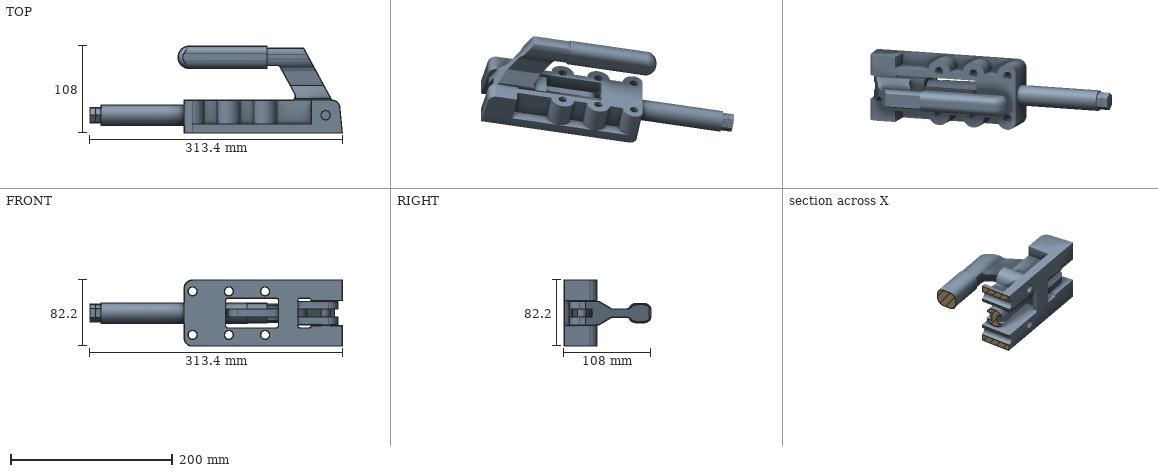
import cadquery as cq
import math


body_length = 196.5
body_depth = 41.0
body_height = 82.2
nose_radius = 10.6
plate_thickness = 11.3
tail_top_length = 192.5
tail_round_radius = 10.0

hole_diameter = 10.8
hole_pitch = 45.0
hole_count = 3
first_hole_x = nose_radius
boss_radius = 14.1
hole_z = body_height / 2 - boss_radius
recess_floor_z = hole_z
recess_end_x = 158.4
recess_floor_fillet = 1.0

channel_start_x = 51.7
channel_end_x = 157.6
channel_width = 36.6
channel_corner_radius = 2.5
tail_slot_width = 31.0
bridge_start_x = 117.0
bridge_end_x = 141.4
bridge_thickness = 6.0

axis_y = 22.2
plunger_radius = 12.8
plunger_tip_x = -103.0
plunger_end_x = 78.0
clevis_radius = 12.3
clevis_end_x = 103.0
tongue_radius = 11.5
tongue_end_x = 120.0
tongue_flat_offset = 6.6
clevis_slot_start_x = 52.5
hex_across_flats = 19.2
hex_across_corners = hex_across_flats / math.cos(math.pi / 6)
hex_thickness = 6.95
nut_chamfer_angle = math.radians(30)

link_thickness = 10.0
link_end_radius = 11.9
link_plunger_x = 66.6
link_handle_x = 140.5
pivot_x = 175.7
pivot_diameter = 11.5
pivot_recess = 0.2

arm_lean = math.radians(28.5)
neck_bottom_y = 83.8
neck_top_y = 105.4
neck_start_x = 90.0
neck_heel_x = 118.3
neck_end_x = 148.4
arm_foot_y = 40.0
arm_foot_fillet = 6.0
neck_heel_fillet = 2.0
fork_front_x = 121.0
fork_floor_y = 7.0
fork_end_radius = 12.0
fork_heel_x = 179.2
fork_slot_end_y = 34.7

neck_half_thickness = 10.5
neck_crown_radius = 14.5
neck_flat_width = 5.6
web_half_thickness = 5.3
web_top_y = 77.5
web_bottom_y = 59.0
fork_half_thickness = 14.7
fork_shoulder_y = 43.0

grip_width = 27.8
grip_thickness = 24.0
grip_corner_radius = 9.0
grip_end_x = 103.0
grip_top_y = 108.0
grip_tip_x = -7.5
dome_flat_radius = 8.0


def box(x_range, y_range, z_range):
    (x0, x1), (y0, y1), (z0, z1) = x_range, y_range, z_range
    return cq.Workplane("XY").box(x1 - x0, y1 - y0, z1 - z0, centered=False).translate((x0, y0, z0))


def rod(start_x, end_x, radius):
    """Round bar along the plunger axis."""
    return cq.Workplane("YZ", origin=(start_x, axis_y, 0)).circle(radius).extrude(end_x - start_x)


def body_block():
    """Outer block with a leaning tail and rounded nose edges."""
    half_height = body_height / 2
    block = (
        cq.Workplane("XY", origin=(0, 0, -half_height))
        .polyline([(0, 0), (body_length, 0), (tail_top_length, body_depth), (0, body_depth)])
        .close()
        .extrude(body_height)
    )
    block = block.edges("|Z").edges(">(1,1,0)").fillet(tail_round_radius)
    return block.edges("|Y").edges("<X").fillet(nose_radius)


def side_recess():
    """Material removed above the plate on the +Z side, leaving a boss around each hole."""
    recess = box(
        (first_hole_x, recess_end_x),
        (plate_thickness, body_depth),
        (recess_floor_z, body_height / 2),
    )
    for index in range(hole_count):
        boss = (
            cq.Workplane("XZ", origin=(first_hole_x + index * hole_pitch, 0, hole_z))
            .circle(boss_radius)
            .extrude(-body_depth)
        )
        recess = recess.cut(boss)
    floor_corners = recess.faces("<Z").edges("|Y").edges("not(<X)")
    return floor_corners.fillet(recess_floor_fillet)


def rounded_opening(start_x, end_x, start_y):
    """Opening of the channel width from start_y through the far side, with rounded corners."""
    half_width = channel_width / 2
    opening = box((start_x, end_x), (start_y, body_depth), (-half_width, half_width))
    return opening.edges("|Y").fillet(channel_corner_radius)


def channel():
    """Room for the mechanism, crossed by a thin bridge at the mounting face."""
    front_window = rounded_opening(channel_start_x, bridge_start_x, 0)
    rear_window = rounded_opening(bridge_end_x, channel_end_x, 0)
    main_opening = rounded_opening(channel_start_x, channel_end_x, bridge_thickness)
    tail_slot = box(
        ((bridge_end_x + channel_end_x) / 2, body_length),
        (0, body_depth),
        (-tail_slot_width / 2, tail_slot_width / 2),
    )
    return main_opening.union(front_window).union(rear_window).union(tail_slot)


def body():
    recess = side_recess()
    shape = body_block().cut(recess).cut(recess.mirror("XY")).cut(channel())
    hole_points = [
        (first_hole_x + index * hole_pitch, side * hole_z)
        for index in range(hole_count)
        for side in (-1, 1)
    ]
    holes = cq.Workplane("XZ").pushPoints(hole_points).circle(hole_diameter / 2).extrude(-body_depth)
    return shape.cut(holes)


def hexagon(start_x):
    """Hexagonal disc with corners pointing along Z."""
    return (
        cq.Workplane("YZ", origin=(start_x, axis_y, 0))
        .transformed(rotate=(0, 0, 90))
        .polygon(6, hex_across_corners)
        .extrude(hex_thickness)
    )


def chamfered_nut(start_x):
    """Hexagon whose corners are turned down to the flats at both faces."""
    flat_radius = hex_across_flats / 2
    corner_radius = hex_across_corners / 2
    bevel = (corner_radius - flat_radius) * math.tan(nut_chamfer_angle)
    turned_blank = rod(start_x, start_x + hex_thickness, corner_radius).faces("|X")
    turned_blank = turned_blank.chamfer(bevel, corner_radius - flat_radius)
    return hexagon(start_x).intersect(turned_blank)


def plunger():
    """Plunger bar with a hexagon bolt and nut at the tip and a slotted clevis at the rear."""
    tongue = rod(clevis_end_x, tongue_end_x, tongue_radius).intersect(
        box(
            (clevis_end_x, tongue_end_x),
            (axis_y - tongue_flat_offset, body_depth),
            (-tongue_radius, tongue_radius),
        )
    )
    bar = rod(plunger_tip_x, plunger_end_x, plunger_radius)
    bar = bar.union(rod(plunger_end_x, clevis_end_x, clevis_radius)).union(tongue)
    slot = box(
        (clevis_slot_start_x, tongue_end_x),
        (0, body_depth),
        (-link_thickness / 2, link_thickness / 2),
    )
    nut = chamfered_nut(plunger_tip_x - hex_thickness)
    bolt_head = hexagon(plunger_tip_x - 2 * hex_thickness)
    return bar.cut(slot).union(nut).union(bolt_head)


def link():
    """Round-ended bar joining the plunger clevis to the handle fork."""
    spacing = link_handle_x - link_plunger_x
    return (
        cq.Workplane("XY", origin=((link_plunger_x + link_handle_x) / 2, axis_y, -link_thickness / 2))
        .slot2D(spacing + 2 * link_end_radius, 2 * link_end_radius)
        .extrude(link_thickness)
    )


def arm_outline():
    """Neck, leaning arm and fork seen along Z, wide enough in Z for the whole section."""
    lean = math.tan(arm_lean)
    fork_back_x = fork_heel_x + fork_end_radius
    fork_end_y = fork_floor_y + fork_end_radius
    diagonal = fork_end_radius * math.sqrt(0.5)
    foot_x = neck_heel_x + lean * (neck_bottom_y - arm_foot_y)
    back_corner_y = neck_top_y - (fork_back_x - neck_end_x) / lean
    outline = (
        cq.Workplane("XY", origin=(0, 0, -fork_half_thickness))
        .moveTo(neck_start_x, neck_bottom_y)
        .lineTo(neck_heel_x, neck_bottom_y)
        .lineTo(foot_x, arm_foot_y)
        .lineTo(fork_front_x, arm_foot_y)
        .lineTo(fork_front_x, fork_floor_y)
        .lineTo(fork_heel_x, fork_floor_y)
        .threePointArc((fork_heel_x + diagonal, fork_end_y - diagonal), (fork_back_x, fork_end_y))
        .lineTo(fork_back_x, back_corner_y)
        .lineTo(neck_end_x, neck_top_y)
        .lineTo(neck_start_x, neck_top_y)
        .close()
        .extrude(2 * fork_half_thickness)
    )
    foot_edge = cq.selectors.NearestToPointSelector((foot_x, arm_foot_y, 0))
    heel_edge = cq.selectors.NearestToPointSelector((neck_heel_x, neck_bottom_y, 0))
    outline = outline.edges("|Z").edges(foot_edge).fillet(arm_foot_fillet)
    return outline.edges("|Z").edges(heel_edge).fillet(neck_heel_fillet)


def half_arm_section():
    """Arm section on the +Z side: crowned neck, concave blend, thin web and flared fork."""
    flat_low_y = (neck_bottom_y + neck_top_y - neck_flat_width) / 2
    flat_high_y = flat_low_y + neck_flat_width
    crown_z = neck_half_thickness - neck_crown_radius
    rise = flat_low_y - web_top_y
    offset = web_half_thickness - crown_z
    blend_radius = (rise**2 + offset**2 - neck_crown_radius**2) / (2 * (neck_crown_radius - offset))
    blend_z = web_half_thickness + blend_radius
    share = blend_radius / (blend_radius + neck_crown_radius)
    joint = (web_top_y + share * rise, blend_z + share * (crown_z - blend_z))
    crown_angle = math.asin((neck_top_y - flat_high_y) / neck_crown_radius)
    top_z = crown_z + neck_crown_radius * math.cos(crown_angle)
    crown_mid = (
        flat_high_y + neck_crown_radius * math.sin(crown_angle / 2),
        crown_z + neck_crown_radius * math.cos(crown_angle / 2),
    )
    joint_angle = math.asin((flat_low_y - joint[0]) / neck_crown_radius)
    lower_mid = (
        flat_low_y - neck_crown_radius * math.sin(joint_angle / 2),
        crown_z + neck_crown_radius * math.cos(joint_angle / 2),
    )
    sweep = math.atan2(rise, blend_z - crown_z)
    blend_mid = (
        web_top_y + blend_radius * math.sin(sweep / 2),
        blend_z - blend_radius * math.cos(sweep / 2),
    )
    return (
        cq.Workplane("YZ", origin=(neck_start_x, 0, 0))
        .moveTo(0, 0)
        .lineTo(0, fork_half_thickness)
        .lineTo(fork_shoulder_y, fork_half_thickness)
        .lineTo(web_bottom_y, web_half_thickness)
        .lineTo(web_top_y, web_half_thickness)
        .threePointArc(blend_mid, joint)
        .threePointArc(lower_mid, (flat_low_y, neck_half_thickness))
        .lineTo(flat_high_y, neck_half_thickness)
        .threePointArc(crown_mid, (neck_top_y, top_z))
        .lineTo(neck_top_y, 0)
        .close()
        .extrude(body_length - neck_start_x)
    )


def handle_arm():
    half_section = half_arm_section()
    section = half_section.union(half_section.mirror("XY"))
    fork_slot = box(
        (fork_front_x, body_length),
        (0, fork_slot_end_y),
        (-link_thickness / 2, link_thickness / 2),
    )
    return arm_outline().intersect(section).cut(fork_slot)


def grip():
    """Grip bar of rounded rectangular section with a domed tip."""
    half_width = grip_width / 2
    half_thickness = grip_thickness / 2
    grip_y = grip_top_y - half_width
    dome_x = grip_tip_x + half_width
    side_z = half_thickness - grip_corner_radius
    bar = (
        cq.Workplane("XY")
        .box(grip_end_x - grip_tip_x, grip_width, grip_thickness)
        .translate(((grip_end_x + grip_tip_x) / 2, grip_y, 0))
        .edges("|X")
        .fillet(grip_corner_radius)
    )
    inset = half_width - dome_flat_radius
    arc_radius = (inset**2 + grip_corner_radius**2) / (2 * inset)
    half_sweep = math.asin(grip_corner_radius / arc_radius) / 2
    mid_r = half_width - arc_radius * (1 - math.cos(half_sweep))
    mid_z = side_z + arc_radius * math.sin(half_sweep)
    dome = (
        cq.Workplane("XZ", origin=(dome_x, grip_y, 0))
        .moveTo(0, -half_thickness)
        .lineTo(dome_flat_radius, -half_thickness)
        .threePointArc((mid_r, -mid_z), (half_width, -side_z))
        .lineTo(half_width, side_z)
        .threePointArc((mid_r, mid_z), (dome_flat_radius, half_thickness))
        .lineTo(0, half_thickness)
        .close()
        .revolve(360, (0, 0), (0, 1))
    )
    tip_block = box(
        (grip_tip_x, dome_x),
        (grip_y - half_width, grip_top_y),
        (-half_thickness, half_thickness),
    )
    return bar.cut(tip_block.cut(dome))


def pivot_cylinder(half_length):
    """Cylinder on the handle pivot axis, centred on the mid-plane."""
    return (
        cq.Workplane("XY", origin=(pivot_x, axis_y, -half_length))
        .circle(pivot_diameter / 2)
        .extrude(2 * half_length)
    )


handle = handle_arm().union(grip())
pivot_bore = pivot_cylinder(body_height / 2)
pivot_pin = pivot_cylinder(body_height / 2 - pivot_recess)
result = body().cut(pivot_bore).union(plunger()).union(link()).union(handle).union(pivot_pin)